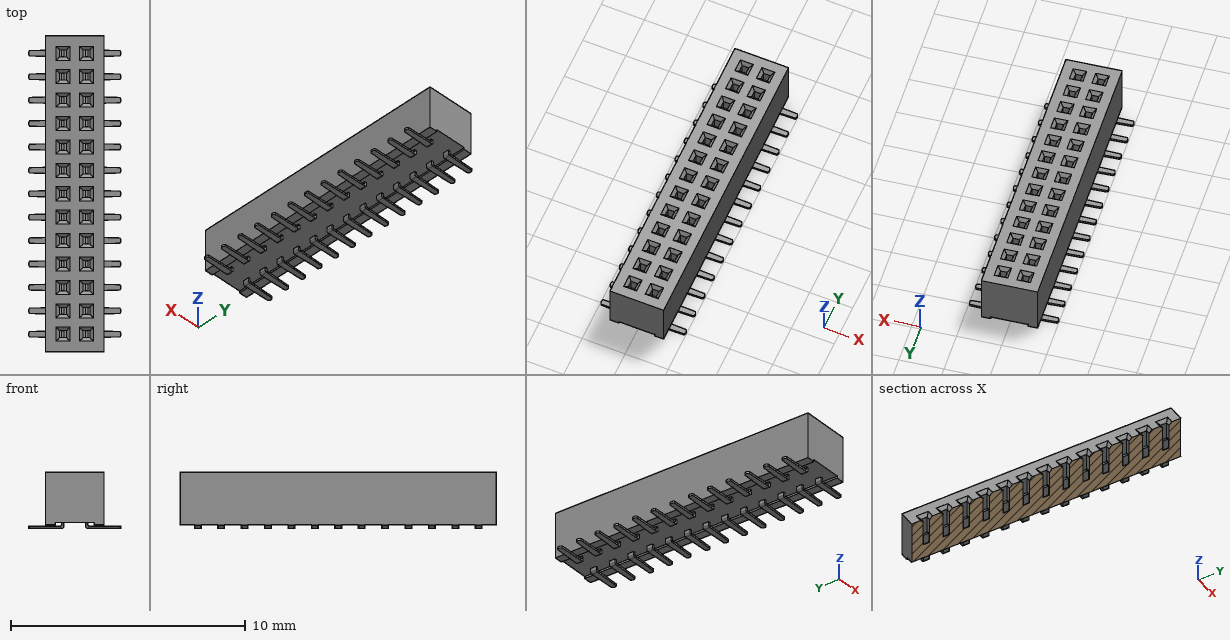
import cadquery as cq

PITCH = 1.0
CONTACTS_PER_ROW = 13
END_MARGIN = 0.75

HOUSING_WIDTH = 2.5
HOUSING_LENGTH = (CONTACTS_PER_ROW - 1) * PITCH + 2 * END_MARGIN
TOP_Z = 2.4
STANDOFF = 0.15
UNDERCUT_Z = 0.25
RAIL_WIDTH = 0.42

SOCKET_MOUTH = 0.6
WELL_SIZE = 0.3
FUNNEL_DEPTH = 0.15
WELL_FLOOR_Z = 1.0

TAIL_SPAN = 3.95
METAL = 0.1
STEM_WIDTH = 0.3
STEM_X = 0.515
BLADE_WIDTH = 0.27
BLADE_TOP_Z = 1.5
BEND_INNER_RADIUS = 0.05
BEND_OUTER_RADIUS = 0.08
TIP_WIDTH = 0.24
TIP_CROWN = 0.05

ROW_X = PITCH / 2
CONTACT_YS = [(i - (CONTACTS_PER_ROW - 1) / 2) * PITCH for i in range(CONTACTS_PER_ROW)]


def make_housing():
    """Rectangular block standing on two rails along its long edges."""
    block = cq.Workplane("XY").workplane(offset=STANDOFF).rect(HOUSING_WIDTH, HOUSING_LENGTH)
    block = block.extrude(TOP_Z - STANDOFF)
    undercut = cq.Workplane("XY").rect(HOUSING_WIDTH - 2 * RAIL_WIDTH, HOUSING_LENGTH)
    return block.cut(undercut.extrude(UNDERCUT_Z))


def make_socket():
    """Socket cavity for the +X row, centred on Y = 0."""
    top = cq.Workplane("XY", origin=(ROW_X, 0, TOP_Z))
    funnel = top.rect(SOCKET_MOUTH, SOCKET_MOUTH).workplane(offset=-FUNNEL_DEPTH)
    funnel = funnel.rect(WELL_SIZE, WELL_SIZE).loft(ruled=True)
    well = top.rect(WELL_SIZE, WELL_SIZE).extrude(WELL_FLOOR_Z - TOP_Z)
    return funnel.union(well)


def make_contact():
    """Contact for the +X row, centred on Y = 0, with its tail resting on Z = 0."""
    inner_x = STEM_X - METAL / 2
    outer_x = STEM_X + METAL / 2
    bend_end_x = outer_x + BEND_INNER_RADIUS
    tip_x = TAIL_SPAN / 2

    bent_strip = (
        cq.Workplane("XZ", origin=(0, STEM_WIDTH / 2, 0))
        .moveTo(tip_x, 0)
        .lineTo(inner_x + BEND_OUTER_RADIUS, 0)
        .radiusArc((inner_x, BEND_OUTER_RADIUS), BEND_OUTER_RADIUS)
        .lineTo(inner_x, WELL_FLOOR_Z)
        .lineTo(outer_x, WELL_FLOOR_Z)
        .lineTo(outer_x, METAL + BEND_INNER_RADIUS)
        .radiusArc((bend_end_x, METAL), -BEND_INNER_RADIUS)
        .lineTo(tip_x, METAL)
        .close()
        .extrude(STEM_WIDTH)
    )
    tapered_plan = (
        cq.Workplane("XY")
        .moveTo(inner_x, -STEM_WIDTH / 2)
        .lineTo(bend_end_x, -STEM_WIDTH / 2)
        .lineTo(tip_x - TIP_CROWN, -TIP_WIDTH / 2)
        .threePointArc((tip_x, 0), (tip_x - TIP_CROWN, TIP_WIDTH / 2))
        .lineTo(bend_end_x, STEM_WIDTH / 2)
        .lineTo(inner_x, STEM_WIDTH / 2)
        .close()
        .extrude(WELL_FLOOR_Z)
    )
    blade = cq.Workplane("XY", origin=(STEM_X, 0, WELL_FLOOR_Z)).rect(METAL, BLADE_WIDTH)
    return bent_strip.intersect(tapered_plan).union(blade.extrude(BLADE_TOP_Z - WELL_FLOOR_Z))


def repeat_in_both_rows(feature):
    """Copies of a +X row feature at every position of both rows."""
    pair = [feature.val(), feature.mirror("YZ").val()]
    return [solid.translate(cq.Vector(0, y, 0)) for y in CONTACT_YS for solid in pair]


housing = make_housing().val().cut(*repeat_in_both_rows(make_socket()))
connector = housing.fuse(*repeat_in_both_rows(make_contact()))
result = cq.Workplane("XY").newObject(connector.Solids())